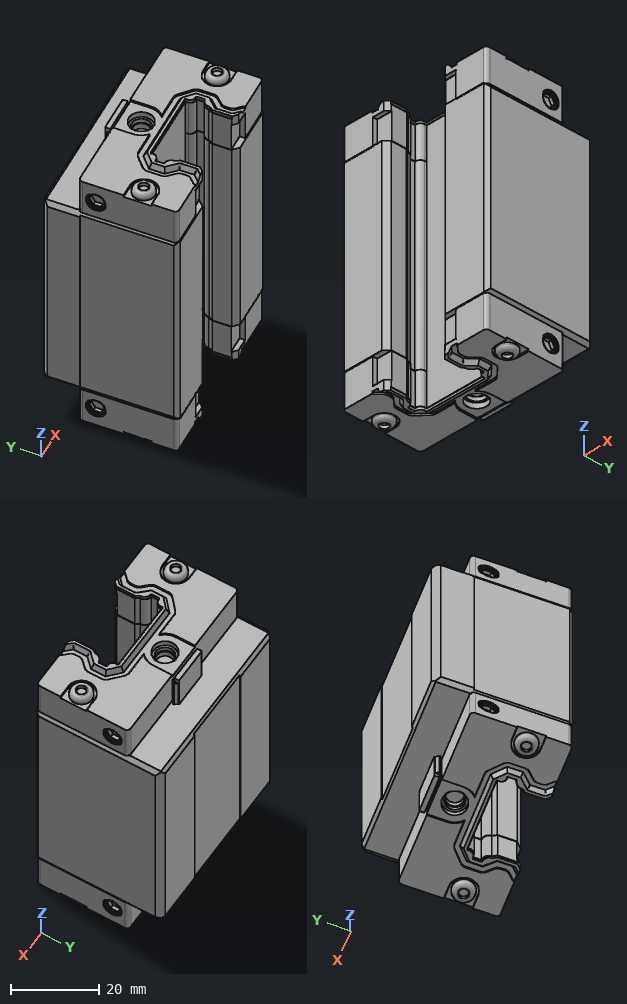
import cadquery as cq
import math


width = 48.0
height = 34.2
length = 79.6
half_width = width / 2
top_y = height / 2
bottom_y = -height / 2
screw_top_z = length / 2

block_end_z = 28.6
relief_half_width = 9.75
relief_depth = 0.3
side_relief = 0.3
reference_face_y = 7.3
top_edge_chamfer = 1.7
bottom_edge_chamfer = 1.1
end_chamfer = 1.1
envelope_rise = 0.25
mouth_chamfer = 1.5

cap_end_z = 38.65
cap_half_width = 23.5
cap_top_y = 7.9
cap_bottom_y = bottom_y + 0.25
cap_corner_radius = 1.0
recess_depth = 0.55
recess_floor_z = cap_end_z - recess_depth
cap_mouth_chamfer = 1.2
notch_half_width = 13.5
notch_top_y = -15.5
notch_end_z = 36.7

channel_top_y = -3.8
shoulder_x = 9.4
groove_x = 11.15
bulge_x = 10.0
mouth_x = 8.75
block_clearance = 0.1
lip_clearance = 0.1

lip_end_z = 39.5
lip_top_y = -2.05
lip_waist_x = 12.95
lip_mouth_x = 10.45
lip_slope = 0.8
seal_margin = 1.35
border_corner_radius = 2.0

end_port_y = 2.9
end_port_steps = ((6.2, 1.6), (5.0, 2.8), (4.4, 4.5))
port_pad_radius = 4.87
side_port_y = 3.6
side_port_z = 33.3
side_port_steps = ((5.0, 0.4), (4.4, 0.8))
plug_socket_corners = 3.9
plug_socket_depth = 1.8

screw_x = 20.1
screw_y = -6.87
screw_diameter = 5.7
screw_dome_radius = 1.3
socket_diameter = 2.5
socket_depth = 1.0
screw_pocket_radius = 3.5

tongue_end_z = 37.9
tongue_half_width = port_pad_radius
tongue_top_y = 9.75
tongue_bottom_y = 8.45
ear_half_width = 5.5
ear_top_y = 9.5
ear_side_y = 8.8
stem_end_z = 36.6

overlap = 0.5


def box(x_range, y_range, z_range):
    """Axis-aligned box between pairs of coordinates."""
    sizes = [high - low for low, high in (x_range, y_range, z_range)]
    corner = (x_range[0], y_range[0], z_range[0])
    return cq.Workplane("XY").box(*sizes, centered=False).translate(corner)


def mirrored_outline(half_points, z):
    """Closed outline from the points of its +X half, at height z."""
    other_half = [(-x, y) for x, y in reversed(half_points)]
    return cq.Workplane("XY").workplane(offset=z).polyline(half_points + other_half).close()


def mouth_cutter(half_x, chamfer, face_y, half_length):
    """Prism that chamfers both channel mouth edges on a face at face_y."""
    points = [
        (half_x + chamfer + overlap, face_y - overlap),
        (half_x - overlap, face_y + chamfer + overlap),
    ]
    return mirrored_outline(points, -half_length).extrude(2 * half_length)


def channel_outline(clearance, z):
    """Rail channel outline at height z, its walls set back by clearance on each side."""
    below = bottom_y - overlap
    upper_shoulder_y = -4.5
    upper_bulge_y = -5.5
    groove_top_y = -5.8
    groove_bottom_y = -7.8
    lower_bulge_y = -8.3
    lower_shoulder_y = -9.7
    mouth_y = -10.8
    shoulder = shoulder_x + clearance
    bulge = bulge_x + clearance
    groove = groove_x + clearance
    mouth = mouth_x + clearance
    return (
        cq.Workplane("XY")
        .workplane(offset=z)
        .moveTo(-shoulder_x, channel_top_y)
        .lineTo(shoulder_x, channel_top_y)
        .lineTo(shoulder, upper_shoulder_y)
        .threePointArc((bulge, upper_bulge_y), (groove, groove_top_y))
        .lineTo(groove, groove_bottom_y)
        .threePointArc((bulge, lower_bulge_y), (shoulder, lower_shoulder_y))
        .lineTo(mouth, mouth_y)
        .lineTo(mouth, below)
        .lineTo(-mouth, below)
        .lineTo(-mouth, mouth_y)
        .lineTo(-shoulder, lower_shoulder_y)
        .threePointArc((-bulge, lower_bulge_y), (-groove, groove_bottom_y))
        .lineTo(-groove, groove_top_y)
        .threePointArc((-bulge, upper_bulge_y), (-shoulder, upper_shoulder_y))
        .close()
    )


def make_block():
    left_x = -half_width
    lower_left_x = left_x + side_relief
    outline = [
        (left_x + top_edge_chamfer, top_y),
        (-relief_half_width, top_y),
        (-relief_half_width, top_y - relief_depth),
        (relief_half_width, top_y - relief_depth),
        (relief_half_width, top_y),
        (half_width - top_edge_chamfer, top_y),
        (half_width, top_y - top_edge_chamfer),
        (half_width, bottom_y + bottom_edge_chamfer),
        (half_width - bottom_edge_chamfer, bottom_y),
        (lower_left_x + bottom_edge_chamfer, bottom_y),
        (lower_left_x, bottom_y + bottom_edge_chamfer),
        (lower_left_x, reference_face_y),
        (left_x, reference_face_y),
        (left_x, top_y - top_edge_chamfer),
    ]
    block = (
        cq.Workplane("XY")
        .workplane(offset=-block_end_z)
        .polyline(outline)
        .close()
        .extrude(2 * block_end_z)
    )
    envelope_top_y = top_y + envelope_rise
    envelope_height = height + 2 * end_chamfer
    envelope = (
        cq.Workplane("XY")
        .box(width, envelope_height, 2 * block_end_z)
        .translate((0, envelope_top_y - envelope_height / 2, 0))
        .faces("<Z or >Z")
        .chamfer(end_chamfer)
    )
    channel = channel_outline(block_clearance, -block_end_z).extrude(2 * block_end_z)
    mouth = mouth_cutter(mouth_x + block_clearance, mouth_chamfer, bottom_y, block_end_z)
    return block.intersect(envelope).cut(channel).cut(mouth)


def lip_outline():
    """Outer outline of the seal lip at the recess floor, running out below the cap."""
    flare = 3.0
    lip_shoulder_x = 9.8
    lip_shoulder_y = -4.9
    lip_waist_end_y = -8.8
    lip_mouth_y = -11.4
    lip_foot_y = -15.1
    points = [
        (lip_shoulder_x, lip_top_y),
        (lip_waist_x, lip_shoulder_y),
        (lip_waist_x, lip_waist_end_y),
        (lip_mouth_x, lip_mouth_y),
        (lip_mouth_x, lip_foot_y),
        (lip_mouth_x + flare, lip_foot_y - flare),
    ]
    return mirrored_outline(points, recess_floor_z)


def make_cap_body():
    body = (
        box(
            (-cap_half_width, cap_half_width),
            (cap_bottom_y, cap_top_y),
            (block_end_z, cap_end_z),
        )
        .edges("|Z")
        .fillet(cap_corner_radius)
    )
    notch = box(
        (-notch_half_width, notch_half_width),
        (bottom_y - overlap, notch_top_y),
        (block_end_z, notch_end_z),
    )
    return body.cut(notch)


def cut_end_recess(cap):
    """Sink the seal border and the port pad into the end face."""
    border = lip_outline().offset2D(seal_margin, "intersection").extrude(2 * recess_depth)
    border = border.edges("|Z").fillet(border_corner_radius)
    pad = (
        cq.Workplane("XY")
        .workplane(offset=recess_floor_z)
        .center(0, end_port_y)
        .circle(port_pad_radius)
        .extrude(2 * recess_depth)
    )
    pad_run = box(
        (-port_pad_radius, port_pad_radius),
        (end_port_y, cap_top_y + overlap),
        (recess_floor_z, cap_end_z + overlap),
    )
    return cap.cut(border).cut(pad).cut(pad_run)


def add_seal_lip(cap):
    lip_height = lip_end_z - recess_floor_z
    lean = math.degrees(math.atan(lip_slope / lip_height))
    lip = lip_outline().extrude(lip_height, taper=lean)
    keep = box(
        (-cap_half_width, cap_half_width),
        (cap_bottom_y, cap_top_y),
        (recess_floor_z, lip_end_z),
    )
    return cap.union(lip.intersect(keep))


def cut_stepped_port(cap, plane, steps):
    """Blind hole along the plane normal; steps are (diameter, depth) pairs."""
    for diameter, depth in steps:
        cap = cap.cut(cq.Workplane(plane).circle(diameter / 2).extrude(depth))
    return cap


def cut_ports(cap):
    end_plane = cq.Plane((0, end_port_y, recess_floor_z), xDir=(1, 0, 0), normal=(0, 0, -1))
    cap = cut_stepped_port(cap, end_plane, end_port_steps)
    for side in (-1, 1):
        origin = (side * cap_half_width, side_port_y, side_port_z)
        side_plane = cq.Plane(origin, xDir=(0, 1, 0), normal=(-side, 0, 0))
        cap = cut_stepped_port(cap, side_plane, side_port_steps)
        hexagon = cq.Workplane(side_plane).polygon(6, plug_socket_corners)
        cap = cap.cut(hexagon.extrude(plug_socket_depth))
    return cap


def make_screw(side):
    """Domed socket head standing on the recess floor."""
    return (
        cq.Workplane("XY")
        .workplane(offset=recess_floor_z)
        .center(side * screw_x, screw_y)
        .circle(screw_diameter / 2)
        .extrude(screw_top_z - recess_floor_z)
        .faces(">Z")
        .edges()
        .fillet(screw_dome_radius)
        .faces(">Z")
        .workplane(centerOption="CenterOfBoundBox")
        .hole(socket_diameter, socket_depth)
    )


def add_screws(cap):
    for side in (-1, 1):
        pocket = (
            cq.Workplane("XY")
            .workplane(offset=recess_floor_z)
            .center(side * screw_x, screw_y)
            .circle(screw_pocket_radius)
            .extrude(2 * recess_depth)
        )
        run_x = sorted((side * screw_x, side * half_width))
        run_y = (screw_y - screw_pocket_radius, screw_y + screw_pocket_radius)
        run_out = box(run_x, run_y, (recess_floor_z, cap_end_z + overlap))
        cap = cap.cut(pocket).cut(run_out).union(make_screw(side))
    return cap


def make_tongue():
    """Strip on the +Y side of the cap, with bevelled ears and a stem to the cap."""
    x_range = (-tongue_half_width, tongue_half_width)
    strip = box(x_range, (tongue_bottom_y, tongue_top_y), (block_end_z, tongue_end_z))
    ear_points = [
        (tongue_half_width, ear_top_y),
        (ear_half_width, ear_side_y),
        (ear_half_width, tongue_bottom_y),
    ]
    ears = mirrored_outline(ear_points, block_end_z).extrude(stem_end_z - block_end_z)
    stem_y_range = (cap_top_y - overlap, tongue_bottom_y + overlap)
    stem = box(x_range, stem_y_range, (block_end_z, stem_end_z))
    return strip.union(ears).union(stem)


def cut_cap_channel(cap):
    channel = channel_outline(0, block_end_z).extrude(lip_end_z - block_end_z)
    lip_opening = channel_outline(0, cap_end_z).offset2D(lip_clearance)
    mouth = mouth_cutter(mouth_x, cap_mouth_chamfer, cap_bottom_y, screw_top_z)
    return cap.cut(channel).cut(lip_opening.extrude(lip_end_z - cap_end_z)).cut(mouth)


def make_cap():
    cap = cut_end_recess(make_cap_body())
    cap = add_seal_lip(cap)
    cap = cut_cap_channel(cap)
    cap = cut_ports(cap)
    cap = add_screws(cap)
    return cap.union(make_tongue())


cap = make_cap()
result = make_block().union(cap).union(cap.mirror("XY"))